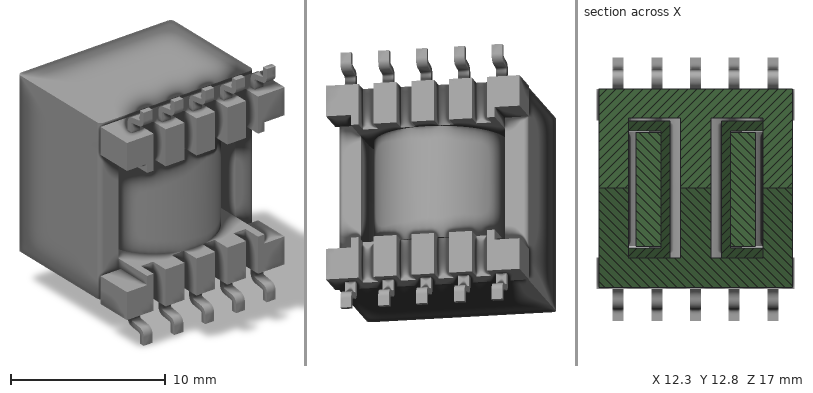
import cadquery as cq
import math

CORE_LENGTH = 8.79
CORE_WIDTH = 12.51
CORE_HEIGHT = 12.85
CORE_CORNER_RADIUS = 0.3
CORE_OPEN_FACE_X = 2.43
POST_RADIUS = 2.2
WINDOW_HALF_HEIGHT = 4.5

FLANGE_RADIUS = 4.76
FLANGE_INNER_Z = 3.75
FLANGE_OUTER_Z = 4.42
BOBBIN_END_X = 5.5
BORE_RADIUS = 2.55
BARREL_RADIUS = 3.0
BLOCK_START_X = 2.69
BLOCK_WIDTH = 12.8
BLOCK_OUTER_Z = 6.46
NOTCH_WIDTH = 0.99
NOTCH_BASE_X = 4.16
BOBBIN_DROP = WINDOW_HALF_HEIGHT - FLANGE_OUTER_Z

PIN_COUNT = 5
PIN_PITCH = 2.5
PIN_WIDTH = 0.71
PIN_THICKNESS = 0.4
PIN_TIP_X = 5.92
PIN_TIP_Z = 8.5
PIN_SLOPE_MID_Z = 7.48
PIN_SLOPE_ANGLE = math.radians(8)
PIN_BEND_RADIUS = 0.32
PIN_LEG_CENTER_X = 4.4

WINDING_RADIUS = 4.34
WINDING_END_GAP = 0.05


def cylinder(radius, z_bottom, z_top):
    """Cylinder on the centre post axis."""
    return cq.Workplane("XY").workplane(offset=z_bottom).circle(radius).extrude(z_top - z_bottom)


def block(x_start, x_end, width, z_bottom, z_top):
    """Rectangular block, symmetric about the XZ plane."""
    size = (x_end - x_start, width, z_top - z_bottom)
    return cq.Workplane("XY").box(*size, centered=(False, True, False)).translate((x_start, 0, z_bottom))


def with_mirror(upper):
    """Join an upper half to its mirror image below the XY plane."""
    return upper.union(upper.mirror("XY"))


def make_upper_core_half():
    """Cup half with a round winding window, open at +X, around a round centre post."""
    half_height = CORE_HEIGHT / 2
    core = block(CORE_OPEN_FACE_X - CORE_LENGTH, CORE_OPEN_FACE_X, CORE_WIDTH, 0, half_height)
    core = core.edges("|Z").fillet(CORE_CORNER_RADIUS)
    window = cylinder(FLANGE_RADIUS, 0, WINDOW_HALF_HEIGHT)
    opening = block(0, CORE_OPEN_FACE_X, 2 * FLANGE_RADIUS, 0, WINDOW_HALF_HEIGHT)
    post = cylinder(POST_RADIUS, 0, half_height)
    return core.cut(window.union(opening)).union(post)


def make_upper_pin():
    """Flat strip bent twice: up out of the block, outwards along a slope, then up to the tip."""
    tip_center_x = PIN_TIP_X - PIN_THICKNESS / 2
    slope_half_rise = (tip_center_x - PIN_LEG_CENTER_X) / 2 * math.tan(PIN_SLOPE_ANGLE)
    lower_corner_z = PIN_SLOPE_MID_Z - slope_half_rise
    upper_corner_z = PIN_SLOPE_MID_Z + slope_half_rise
    bend_setback = PIN_BEND_RADIUS * math.tan((math.pi / 2 - PIN_SLOPE_ANGLE) / 2)
    setback_x = bend_setback * math.cos(PIN_SLOPE_ANGLE)
    setback_z = bend_setback * math.sin(PIN_SLOPE_ANGLE)
    centerline = (
        cq.Workplane("XZ")
        .moveTo(PIN_LEG_CENTER_X, BLOCK_OUTER_Z)
        .lineTo(PIN_LEG_CENTER_X, lower_corner_z - bend_setback)
        .tangentArcPoint((PIN_LEG_CENTER_X + setback_x, lower_corner_z + setback_z), relative=False)
        .lineTo(tip_center_x - setback_x, upper_corner_z - setback_z)
        .tangentArcPoint((tip_center_x, upper_corner_z + bend_setback), relative=False)
        .lineTo(tip_center_x, PIN_TIP_Z)
    )
    section = cq.Workplane("XY", origin=(PIN_LEG_CENTER_X, 0, BLOCK_OUTER_Z))
    return section.rect(PIN_THICKNESS, PIN_WIDTH).sweep(centerline)


def make_upper_bobbin_end():
    """Flange and terminal block, notched between the pins."""
    end = cylinder(FLANGE_RADIUS, FLANGE_INNER_Z, FLANGE_OUTER_Z)
    end = end.union(block(0, BOBBIN_END_X, 2 * FLANGE_RADIUS, FLANGE_INNER_Z, FLANGE_OUTER_Z))
    end = end.union(block(BLOCK_START_X, BOBBIN_END_X, BLOCK_WIDTH, FLANGE_OUTER_Z, BLOCK_OUTER_Z))
    first_pin_y = -(PIN_COUNT - 1) / 2 * PIN_PITCH
    notch = block(NOTCH_BASE_X, BOBBIN_END_X, NOTCH_WIDTH, FLANGE_INNER_Z, BLOCK_OUTER_Z)
    for index in range(PIN_COUNT - 1):
        end = end.cut(notch.translate((0, first_pin_y + (index + 0.5) * PIN_PITCH, 0)))
    pin = make_upper_pin()
    for index in range(PIN_COUNT):
        end = end.union(pin.translate((0, first_pin_y + index * PIN_PITCH, 0)))
    return end


def make_bobbin():
    """Bobbin with its pins: two mirrored ends joined by a hollow barrel."""
    bobbin = with_mirror(make_upper_bobbin_end().union(cylinder(BARREL_RADIUS, 0, FLANGE_OUTER_Z)))
    bore = cylinder(BORE_RADIUS, -FLANGE_OUTER_Z, FLANGE_OUTER_Z)
    return bobbin.cut(bore).translate((0, 0, -BOBBIN_DROP))


def make_winding():
    """Round coil on the bobbin barrel, slightly short of both flanges."""
    half_height = FLANGE_INNER_Z - WINDING_END_GAP
    coil = cylinder(WINDING_RADIUS, -half_height, half_height)
    coil = coil.cut(cylinder(BARREL_RADIUS, -half_height, half_height))
    return coil.translate((0, 0, -BOBBIN_DROP))


upper_core = make_upper_core_half()
lower_core = upper_core.mirror("XY")
bobbin = make_bobbin()
winding = make_winding()

result = cq.Compound.makeCompound([upper_core.val(), lower_core.val(), bobbin.val(), winding.val()])